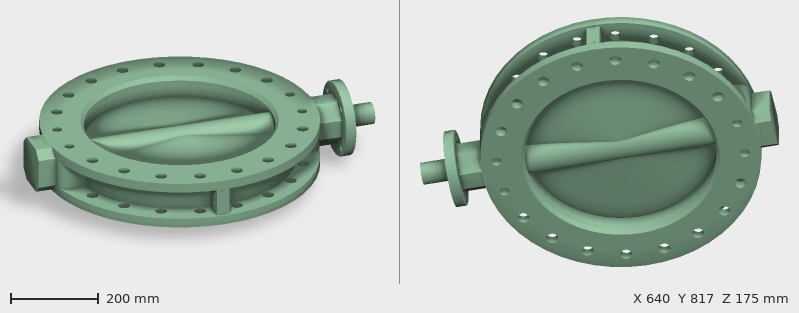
import cadquery as cq
import math

FLANGE_DIAMETER = 640.0
BODY_LENGTH = 111.0
FLANGE_THICKNESS = 22.0
GROOVE_WALL_RADIUS = 269.0
LINER_RADIUS = 255.0
BORE_RADIUS = 218.0

PAD_HALF_WIDTH = 85.0
PAD_OUTER_FILLET = 25.0
PAD_ROOT_FILLET = 11.5

RIB_WIDTH = 30.0
RIB_REACH = 314.5

BOLT_COUNT = 20
BOLT_CIRCLE_RADIUS = 283.0
BOLT_DIAMETER = 27.0
PAD_BOLT_DIAMETER = 23.0

BOSS_WIDTH = 107.0
NECK_CORNER_CUT = 33.0
FOOT_CORNER_CUT = 20.0
FOOT_END = -356.0
ROOT_FILLET = 4.0

PLATE_RADIUS = 87.5
PLATE_THICKNESS = 24.0
PLATE_TOP = 395.0
PLATE_CHAMFER = 2.0
PLATE_BOLT_COUNT = 4
PLATE_BOLT_CIRCLE_RADIUS = 70.0
PLATE_BOLT_DIAMETER = 18.0

BORE_CHAMFER_WIDTH = 7.0
BORE_CHAMFER_DEPTH = 10.0

DISC_EDGE_THICKNESS = 6.5
DISC_CENTRE_THICKNESS = 62.0
HUB_RADIUS = 37.5
SHAFT_RADIUS = 25.0
SHAFT_TOP = 461.0
FOOT_END_WALL = 24.5

FLANGE_RADIUS = FLANGE_DIAMETER / 2
HALF_LENGTH = BODY_LENGTH / 2
GROOVE_HEIGHT = BODY_LENGTH - 2 * FLANGE_THICKNESS
PLATE_BOTTOM = PLATE_TOP - PLATE_THICKNESS
SHAFT_BOTTOM = FOOT_END + FOOT_END_WALL
BOLT_PITCH = 360 / BOLT_COUNT


def disk(radius, height):
    """Cylinder along Z, centred on the origin."""
    return cq.Workplane("XY").circle(radius).extrude(height / 2, both=True)


def rod(radius, y_start, y_end):
    """Cylinder along Y between two positions."""
    return cq.Workplane("XZ", origin=(0, y_start, 0)).circle(radius).extrude(y_start - y_end)


def octagon_bar(corner_cut, y_start, y_end):
    """Square bar along Y with its four long corners cut off."""
    bar = cq.Workplane("XZ", origin=(0, y_start, 0)).rect(BOSS_WIDTH, BOSS_WIDTH).extrude(y_start - y_end)
    return bar.edges("|Y").chamfer(corner_cut)


def bolt_angles():
    """Angle of every flange bolt hole, the first one half a pitch from +X."""
    return [(index + 0.5) * BOLT_PITCH for index in range(BOLT_COUNT)]


def is_pad_bolt(angle):
    """True for the holes on either side of the shaft, which run through a pad."""
    return abs(BOLT_CIRCLE_RADIUS * math.cos(math.radians(angle))) < PAD_HALF_WIDTH


def bolt_holes(diameter, angles):
    """Cutters for flange bolt holes at the given angles."""
    radians = [math.radians(angle) for angle in angles]
    centres = [(BOLT_CIRCLE_RADIUS * math.cos(a), BOLT_CIRCLE_RADIUS * math.sin(a)) for a in radians]
    return cq.Workplane("XY").pushPoints(centres).circle(diameter / 2).extrude(HALF_LENGTH, both=True)


def groove_core():
    """Section between the flanges: round wall, filleted pads at +Y and -Y, ribs at +X and -X."""
    pads = (
        disk(FLANGE_RADIUS, GROOVE_HEIGHT)
        .intersect(cq.Workplane("XY").box(2 * PAD_HALF_WIDTH, 2 * FLANGE_RADIUS, GROOVE_HEIGHT))
        .edges("|Z")
        .fillet(PAD_OUTER_FILLET)
    )
    core = disk(GROOVE_WALL_RADIUS, GROOVE_HEIGHT).union(pads)
    pad_root_y = math.sqrt(GROOVE_WALL_RADIUS**2 - PAD_HALF_WIDTH**2)
    for x in (-PAD_HALF_WIDTH, PAD_HALF_WIDTH):
        for y in (-pad_root_y, pad_root_y):
            core = core.edges(cq.selectors.NearestToPointSelector((x, y, 0))).fillet(PAD_ROOT_FILLET)
    ribs = cq.Workplane("XY").box(2 * RIB_REACH, RIB_WIDTH, GROOVE_HEIGHT)
    return core.union(ribs)


def flanges():
    """The two round end flanges."""
    both = disk(FLANGE_RADIUS, BODY_LENGTH)
    return both.cut(disk(FLANGE_RADIUS, GROOVE_HEIGHT))


def mounting_plate():
    """Round plate at the top of the neck, with its bolt holes."""
    plate = rod(PLATE_RADIUS, PLATE_BOTTOM, PLATE_TOP).faces("<Y").edges().chamfer(PLATE_CHAMFER)
    holes = (
        cq.Workplane("XZ", origin=(0, PLATE_BOTTOM, 0))
        .polarArray(PLATE_BOLT_CIRCLE_RADIUS, 180 / PLATE_BOLT_COUNT, 360, PLATE_BOLT_COUNT)
        .circle(PLATE_BOLT_DIAMETER / 2)
        .extrude(-PLATE_THICKNESS)
    )
    return plate.cut(holes)


def fillet_flat_roots(part, y):
    """Fillet the corners where the four main sides of a boss meet a larger body near position y."""
    half = BOSS_WIDTH / 2
    for x, z in ((half, 0), (-half, 0), (0, half), (0, -half)):
        part = part.edges(cq.selectors.NearestToPointSelector((x, y, z))).fillet(ROOT_FILLET)
    return part


def boss(corner_cut, y_end):
    """Octagonal boss standing on the flange rim, its root fillets trimmed at the flange faces."""
    rim_height = BODY_LENGTH + 4 * ROOT_FILLET
    rim_y = math.copysign(FLANGE_RADIUS, y_end)
    part = disk(FLANGE_RADIUS, rim_height).union(octagon_bar(corner_cut, 0, y_end))
    part = fillet_flat_roots(part, rim_y)
    envelope_width = BOSS_WIDTH + 2 * ROOT_FILLET
    return part.intersect(cq.Workplane("XY").box(envelope_width, 2 * abs(y_end), BODY_LENGTH))


def make_housing():
    body = groove_core().union(flanges())
    body = body.union(boss(FOOT_CORNER_CUT, FOOT_END))
    body = body.union(boss(NECK_CORNER_CUT, PLATE_BOTTOM))
    body = fillet_flat_roots(body.union(mounting_plate()), PLATE_BOTTOM)
    pad_angles = [angle for angle in bolt_angles() if is_pad_bolt(angle)]
    groove_angles = [angle for angle in bolt_angles() if not is_pad_bolt(angle)]
    body = body.cut(bolt_holes(PAD_BOLT_DIAMETER, pad_angles))
    body = body.cut(bolt_holes(BOLT_DIAMETER, groove_angles))
    body = body.cut(disk(LINER_RADIUS, BODY_LENGTH))
    return body.cut(rod(SHAFT_RADIUS, SHAFT_BOTTOM, PLATE_TOP))


def make_liner():
    mouth_radius = BORE_RADIUS + BORE_CHAMFER_WIDTH
    chamfer_z = HALF_LENGTH - BORE_CHAMFER_DEPTH
    section = [
        (LINER_RADIUS, -HALF_LENGTH),
        (LINER_RADIUS, HALF_LENGTH),
        (mouth_radius, HALF_LENGTH),
        (BORE_RADIUS, chamfer_z),
        (BORE_RADIUS, -chamfer_z),
        (mouth_radius, -HALF_LENGTH),
    ]
    ring = cq.Workplane("XZ").polyline(section).close().revolve(360, (0, 0, 0), (0, 1, 0))
    return ring.cut(rod(SHAFT_RADIUS, -LINER_RADIUS, LINER_RADIUS))


def make_disc():
    half_edge = DISC_EDGE_THICKNESS / 2
    half_centre = DISC_CENTRE_THICKNESS / 2
    section = [(0, -half_centre), (BORE_RADIUS, -half_edge), (BORE_RADIUS, half_edge), (0, half_centre)]
    plate = cq.Workplane("XZ").polyline(section).close().revolve(360, (0, 0, 0), (0, 1, 0))
    hub = rod(HUB_RADIUS, -BORE_RADIUS, BORE_RADIUS).intersect(disk(BORE_RADIUS, BODY_LENGTH))
    return plate.union(hub).cut(rod(SHAFT_RADIUS, -BORE_RADIUS, BORE_RADIUS))


def make_shaft():
    return rod(SHAFT_RADIUS, SHAFT_BOTTOM, SHAFT_TOP)


housing = make_housing()
liner = make_liner()
disc = make_disc()
shaft = make_shaft()

result = cq.Compound.makeCompound([housing.val(), liner.val(), disc.val(), shaft.val()])